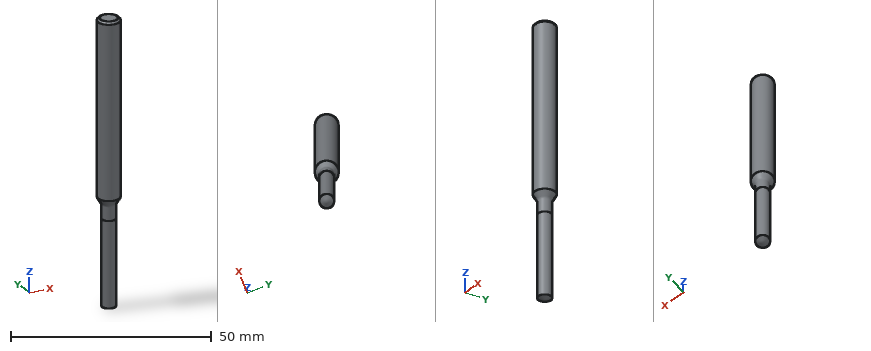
import cadquery as cq
import math

overall_length = 79.0
shank_diameter = 6.0
drill_diameter = 3.75

cutting_length = 24.5
point_angle = 140.0

shank_bottom = 30.4
taper_half_angle = 30.0
neck_fillet = 1.0
shank_chamfer = 0.65

shank_radius = shank_diameter / 2
drill_radius = drill_diameter / 2
point_height = drill_radius / math.tan(math.radians(point_angle / 2))
taper_length = (shank_radius - drill_radius) / math.tan(math.radians(taper_half_angle))
taper_bottom = shank_bottom - taper_length


def make_drill():
    """Cylindrical cutting part with a conical point."""
    half_profile = [
        (0, 0),
        (drill_radius, point_height),
        (drill_radius, cutting_length),
        (0, cutting_length),
    ]
    return cq.Workplane("XZ").polyline(half_profile).close().revolve(360, (0, 0), (0, 1))


def make_shank():
    """Neck that sits on the drill, widening by a filleted taper into the chamfered shank."""
    half_profile = [
        (0, cutting_length),
        (drill_radius, cutting_length),
        (drill_radius, taper_bottom),
        (shank_radius, shank_bottom),
        (shank_radius, overall_length - shank_chamfer),
        (shank_radius - shank_chamfer, overall_length),
        (0, overall_length),
    ]
    body = cq.Workplane("XZ").polyline(half_profile).close().revolve(360, (0, 0), (0, 1))
    neck_corner = cq.selectors.NearestToPointSelector((0, 0, taper_bottom))
    return body.edges("%CIRCLE").edges(neck_corner).fillet(neck_fillet)


drill = make_drill()
shank = make_shank()

result = cq.Compound.makeCompound([drill.val(), shank.val()])